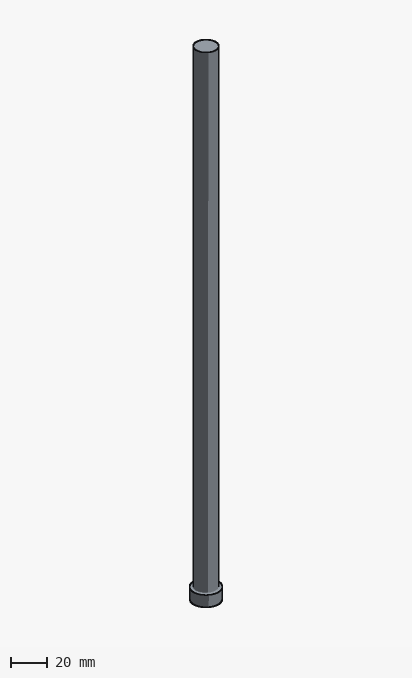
import cadquery as cq

total_length = 350.0
shank_diameter = 14.0
shoulder_width = 2.0
head_diameter = shank_diameter + 2 * shoulder_width
head_height = 8.0
neck_fillet = 0.5
head_base_fillet = 0.5

head = cq.Workplane("XY").circle(head_diameter / 2).extrude(head_height)
shank = cq.Workplane("XY").circle(shank_diameter / 2).extrude(total_length)
pin = head.union(shank)

shank_edges = pin.edges(cq.selectors.RadiusNthSelector(0))
pin = shank_edges.edges("<Z").fillet(neck_fillet)

result = pin.faces("<Z").edges().fillet(head_base_fillet)